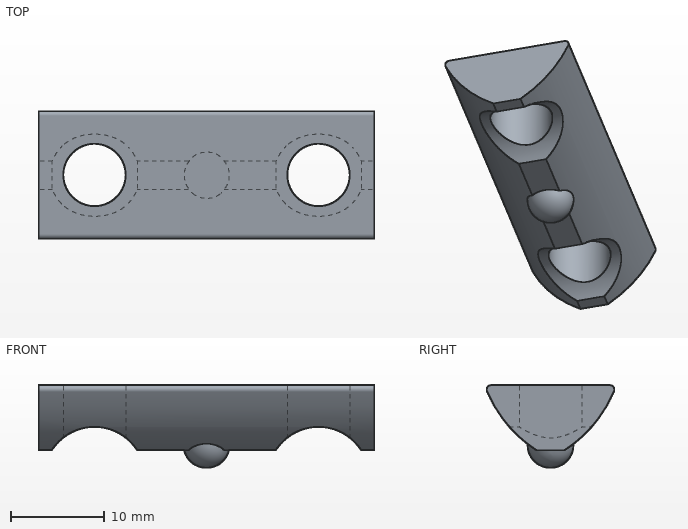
import cadquery as cq

length = 36.0
body_height = 7.0
top_corner_half_width = 7.1
bottom_half_width = 1.5
side_radius = 14.05
edge_radius = 0.5

hole_diameter = 6.65
hole_spacing = 24.0
hole_positions = (-hole_spacing / 2, hole_spacing / 2)
relief_radius = 5.45
relief_depth = 2.5

ball_radius = 2.5
ball_protrusion = 1.9


def make_body():
    profile = (
        cq.Workplane("YZ", origin=(-length / 2, 0, 0))
        .moveTo(-bottom_half_width, 0)
        .lineTo(bottom_half_width, 0)
        .radiusArc((top_corner_half_width, body_height), -side_radius)
        .lineTo(-top_corner_half_width, body_height)
        .radiusArc((-bottom_half_width, 0), -side_radius)
        .close()
    )
    return profile.extrude(length).edges("|X and >Z").fillet(edge_radius)


def make_bolt_hole(x):
    return cq.Workplane("XY").center(x, 0).circle(hole_diameter / 2).extrude(body_height)


def make_relief(x):
    """Cylinder along Y whose crown sits relief_depth above the underside."""
    return (
        cq.Workplane("XZ")
        .center(x, relief_depth - relief_radius)
        .circle(relief_radius)
        .extrude(top_corner_half_width, both=True)
    )


def make_ball():
    return cq.Workplane("XY").sphere(ball_radius).translate((0, 0, ball_radius - ball_protrusion))


result = make_body()
for hole_x in hole_positions:
    result = result.cut(make_bolt_hole(hole_x)).cut(make_relief(hole_x))
result = result.union(make_ball())